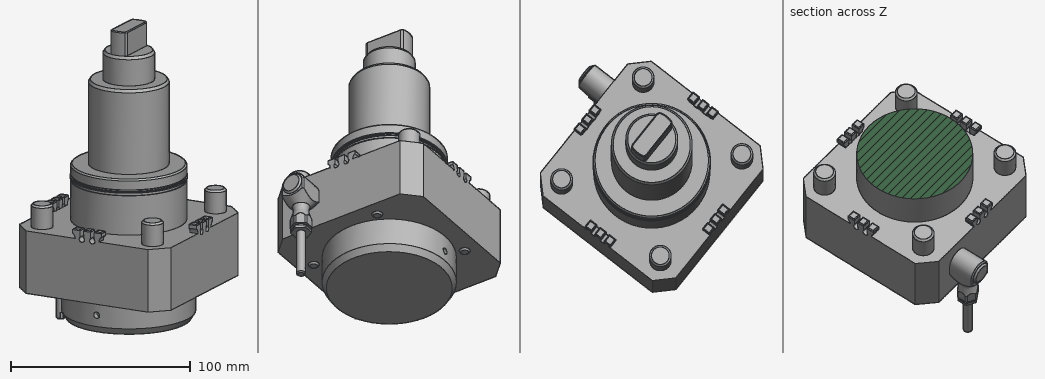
import cadquery as cq
import math


housing_x = 96.0
housing_y = 97.0
housing_height = 36.3
corner_chamfer = 9.3

collar_radius = 32.5
collar_top = 68.5
collar_edge = 1.0
groove_bottom = 59.0
groove_top = 62.3
groove_radius = collar_radius - 0.5
ring_radius = 32.8
ring_bottom = 60.6
ring_top = 61.3
sleeve_radius = 22.5
sleeve_top = 117.4
shaft_radius = 14.5
shaft_top = 134.2
step_chamfer_height = 1.6
step_chamfer_width = 1.1

blade_thickness = 10.3
blade_radius = 13.4
blade_top = 148.1
blade_edge = 0.5
blade_bevel_start = 11.0
blade_bevel_width = 1.0

flange_radius = 37.4
flange_depth = 20.5
flange_chamfer_height = 3.8
flange_chamfer_width = 2.4
pin_hole_radius = 1.8
pin_hole_z = -10.0
pin_hole_depth = 3.7

stud_x = 35.0
stud_y = 36.6
stud_radius = 6.0
stud_height = 13.4
stud_chamfer = 1.1

screw_circle_radius = 42.5
screw_angle = 24.7
screw_radius = 3.1
screw_tip_radius = 2.2
screw_height = 1.1

lug_width = 18.1
lug_depth = 5.0
lug_height = 5.5
lug_edge = 0.5
undercut_depth = 1.5
undercut_height = 3.0
slot_offset = 3.3
slot_width = 2.2
slot_bore_radius = 1.6

connector_x = -55.1
connector_y = 22.2
connector_z = 21.6
body_radius = 7.3
body_end_x = -63.9
body_end_chamfer = 0.7
cap_thickness = 1.1
cap_radius = 6.2
cap_tip_radius = 5.1
bowl_top = 16.7
bowl_top_radius = 11.4
bowl_bottom = 10.6
bowl_bottom_radius = 5.0
neck_radius = 4.4
neck_band_top = 7.9
neck_band_bottom = 6.6
neck_foot_radius = 5.3
nut_flats = 11.0
nut_corner_radius = 6.0
nut_bottom = -3.5
nut_top = 3.7
nut_bevel = 2.0
washer_flats = 10.3
washer_bottom = -6.6
washer_top = -5.0
cable_radius = 2.5
cable_bottom = blade_top - 183.1
cable_chamfer = 0.7
notch_width = 1.8
notch_height = 4.0
notch_floor = 1.5


def cylinder(radius, bottom, top, x=0, y=0):
    return cq.Workplane("XY", origin=(x, y, bottom)).circle(radius).extrude(top - bottom)


def hexagon(flats, bottom, top):
    """Hexagonal prism with two corners on the X axis."""
    across_corners = flats / math.cos(math.pi / 6)
    plane = cq.Workplane("XY", origin=(connector_x, connector_y, bottom))
    return plane.polygon(6, across_corners).extrude(top - bottom)


def spindle():
    """Collar, sleeve, shaft and lower flange as one turned profile."""
    profile = [
        (0, -flange_depth),
        (flange_radius - flange_chamfer_width, -flange_depth),
        (flange_radius, -flange_depth + flange_chamfer_height),
        (flange_radius, housing_height / 2),
        (collar_radius, housing_height / 2),
        (collar_radius, groove_bottom),
        (groove_radius, groove_bottom),
        (groove_radius, ring_bottom),
        (ring_radius, ring_bottom),
        (ring_radius, ring_top),
        (groove_radius, ring_top),
        (groove_radius, groove_top),
        (collar_radius, groove_top),
        (collar_radius, collar_top - collar_edge),
        (collar_radius - collar_edge, collar_top),
        (sleeve_radius, collar_top),
        (sleeve_radius, sleeve_top - step_chamfer_height),
        (sleeve_radius - step_chamfer_width, sleeve_top),
        (shaft_radius, sleeve_top),
        (shaft_radius, shaft_top - step_chamfer_height),
        (shaft_radius - step_chamfer_width, shaft_top),
        (0, shaft_top),
    ]
    return cq.Workplane("XZ").polyline(profile).close().revolve(360, (0, 0, 0), (0, 1, 0))


def pin_hole():
    plane = cq.Workplane("XZ", origin=(0, -flange_radius, pin_hole_z))
    return plane.circle(pin_hole_radius).extrude(-pin_hole_depth)


def blade():
    half = blade_thickness / 2
    narrow = half - blade_bevel_width
    outline = [
        (half, -blade_bevel_start),
        (half, blade_bevel_start),
        (narrow, blade_radius),
        (-narrow, blade_radius),
        (-half, blade_bevel_start),
        (-half, -blade_bevel_start),
        (-narrow, -blade_radius),
        (narrow, -blade_radius),
    ]
    plane = cq.Workplane("XY", origin=(0, 0, shaft_top))
    slab = plane.polyline(outline).close().extrude(blade_top - shaft_top)
    rounded = slab.intersect(cylinder(blade_radius, shaft_top, blade_top))
    return rounded.faces(">Z").chamfer(blade_edge)


def housing():
    block = cq.Workplane("XY").rect(housing_x, housing_y).extrude(housing_height)
    return block.edges("|Z").chamfer(corner_chamfer)


def stud(x, y):
    post = cylinder(stud_radius, housing_height, housing_height + stud_height, x, y)
    return post.faces(">Z").chamfer(stud_chamfer)


def screw_head(angle):
    x = screw_circle_radius * math.cos(math.radians(angle))
    y = screw_circle_radius * math.sin(math.radians(angle))
    head = cq.Workplane("XY", origin=(x, y, 0)).circle(screw_radius)
    return head.workplane(offset=-screw_height).circle(screw_tip_radius).loft()


def lug_teeth(face_distance):
    """Lug on the -Y edge: a bar with undercut ends and bevelled tooth tops."""
    half = lug_width / 2
    waist = half - undercut_depth
    undercut_radius = (undercut_depth**2 + undercut_height**2) / (2 * undercut_depth)
    arc_angle = math.asin(undercut_height / undercut_radius) / 2
    arc_x = waist + undercut_radius * (1 - math.cos(arc_angle))
    arc_y = undercut_radius * math.sin(arc_angle)
    plane = cq.Workplane("XZ", origin=(0, -face_distance, housing_height))
    bar = (
        plane.moveTo(-waist, 0)
        .threePointArc((-arc_x, arc_y), (-half, undercut_height))
        .lineTo(-half, lug_height)
        .lineTo(half, lug_height)
        .lineTo(half, undercut_height)
        .threePointArc((arc_x, arc_y), (waist, 0))
        .close()
        .extrude(-lug_depth)
    )
    return bar.cut(lug_slots(face_distance)).faces(">Z").chamfer(lug_edge)


def lug_slots(face_distance):
    """Keyhole slots that split the lug on the -Y edge into three teeth."""
    plane = cq.Workplane("XZ", origin=(0, -face_distance, housing_height))
    centers = [(-slot_offset, 0), (slot_offset, 0)]
    bores = plane.pushPoints(centers).circle(slot_bore_radius).extrude(-lug_depth)
    raised = [(x, lug_height / 2) for x, _ in centers]
    return bores.union(plane.pushPoints(raised).rect(slot_width, lug_height).extrude(-lug_depth))


def turned_on_cable_axis(profile):
    """Turned solid from (radius, height) points, standing on the cable axis."""
    plane = cq.Workplane("XZ", origin=(connector_x, connector_y, 0))
    return plane.polyline(profile).close().revolve(360, (0, 0, 0), (0, 1, 0))


def connector_body():
    """Arched body along X with a round end cap, trimmed underneath by a cone."""
    length = -housing_x / 2 - body_end_x
    end_plane = cq.Workplane("YZ", origin=(body_end_x, connector_y, connector_z))
    arch = (
        end_plane.moveTo(-body_radius, -2 * body_radius)
        .lineTo(-body_radius, 0)
        .threePointArc((0, body_radius), (body_radius, 0))
        .lineTo(body_radius, -2 * body_radius)
        .close()
        .extrude(length)
        .faces("<X")
        .chamfer(body_end_chamfer)
    )
    clear_radius = 3 * body_radius
    clear_top = connector_z + 2 * body_radius
    bowl = turned_on_cable_axis([
        (0, bowl_bottom),
        (bowl_bottom_radius, bowl_bottom),
        (bowl_top_radius, bowl_top),
        (clear_radius, bowl_top),
        (clear_radius, clear_top),
        (0, clear_top),
    ])
    cap = end_plane.circle(cap_radius).workplane(offset=-cap_thickness).circle(cap_tip_radius).loft()
    return arch.intersect(bowl).union(cap)


def connector_stem():
    """Waisted neck and the cable below it."""
    return turned_on_cable_axis([
        (0, connector_z),
        (bowl_bottom_radius, connector_z),
        (bowl_bottom_radius, bowl_bottom),
        (neck_radius, neck_band_top),
        (neck_radius, neck_band_bottom),
        (neck_foot_radius, nut_top),
        (neck_foot_radius, nut_bottom),
        (neck_radius, nut_bottom),
        (neck_radius, washer_top),
        (cable_radius, washer_top),
        (cable_radius, cable_bottom + cable_chamfer),
        (cable_radius - cable_chamfer, cable_bottom),
        (0, cable_bottom),
    ])


def nut():
    """Hexagon nut with rounded corners and a bevelled top."""
    blank = turned_on_cable_axis([
        (0, nut_bottom),
        (nut_corner_radius, nut_bottom),
        (nut_corner_radius, nut_top - nut_bevel),
        (neck_foot_radius, nut_top),
        (0, nut_top),
    ])
    return blank.intersect(hexagon(nut_flats, nut_bottom, nut_top))


def cable_notch():
    """Small notch in the cable end, facing between +X and -Y."""
    cutter = cq.Workplane("XY", origin=(notch_floor, 0, cable_bottom))
    cutter = cutter.rect(2 * cable_radius, notch_width).extrude(notch_height)
    cutter = cutter.translate((cable_radius, 0, 0)).rotate((0, 0, 0), (0, 0, 1), -45)
    return cutter.translate((connector_x, connector_y, 0))


def connector():
    washer = hexagon(washer_flats, washer_bottom, washer_top)
    return connector_body().union(connector_stem().cut(cable_notch())).union(nut()).union(washer)


result = housing().union(spindle()).union(blade())
for sx in (-1, 1):
    for sy in (-1, 1):
        result = result.union(stud(sx * stud_x, sy * stud_y))
for quarter in range(4):
    result = result.union(screw_head(screw_angle + 90 * quarter))
    face = (housing_y, housing_x)[quarter % 2] / 2
    turn = ((0, 0, 0), (0, 0, 1), 90 * quarter)
    result = result.union(lug_teeth(face).rotate(*turn)).cut(lug_slots(face).rotate(*turn))
result = result.union(connector()).cut(pin_hole())